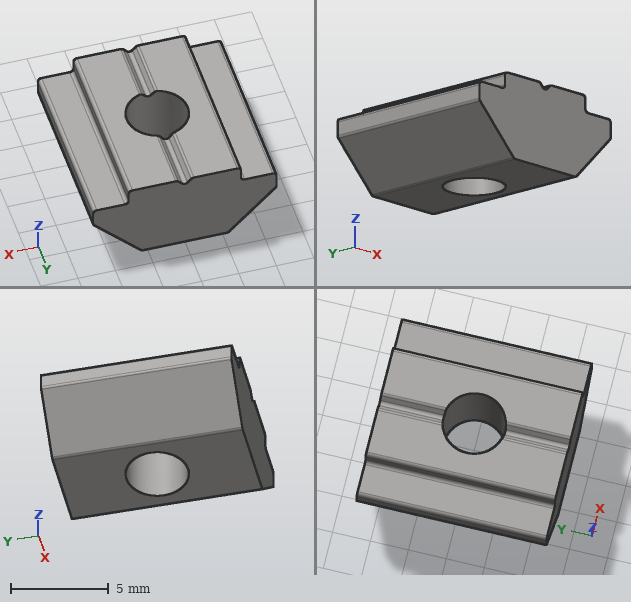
import cadquery as cq

length = 10.0
flange_width = 9.8
height = 4.5
boss_width = 6.0
boss_height = 0.9
base_width = 4.6
groove_depth = 0.4
hole_diameter = 3.24
edge_radius = 0.2

shoulder_z = height - boss_height
bevel_height = (flange_width - base_width) / 2
groove_half_width = groove_depth

right_half = [
    (base_width / 2, 0),
    (flange_width / 2, bevel_height),
    (flange_width / 2, shoulder_z),
    (boss_width / 2, shoulder_z),
    (boss_width / 2, height),
    (groove_half_width, height),
]
groove_root = (0, height - groove_depth)
left_half = [(-x, z) for x, z in reversed(right_half)]


def make_body():
    """Extrude the cross-section along Y and round all its lengthwise edges."""
    outline = right_half + [groove_root] + left_half
    body = cq.Workplane("XZ").polyline(outline).close().extrude(length / 2, both=True)
    return body.edges("|Y").fillet(edge_radius)


def make_hole():
    """Vertical through hole in the middle of the nut."""
    return cq.Workplane("XY").circle(hole_diameter / 2).extrude(height)


result = make_body().cut(make_hole())